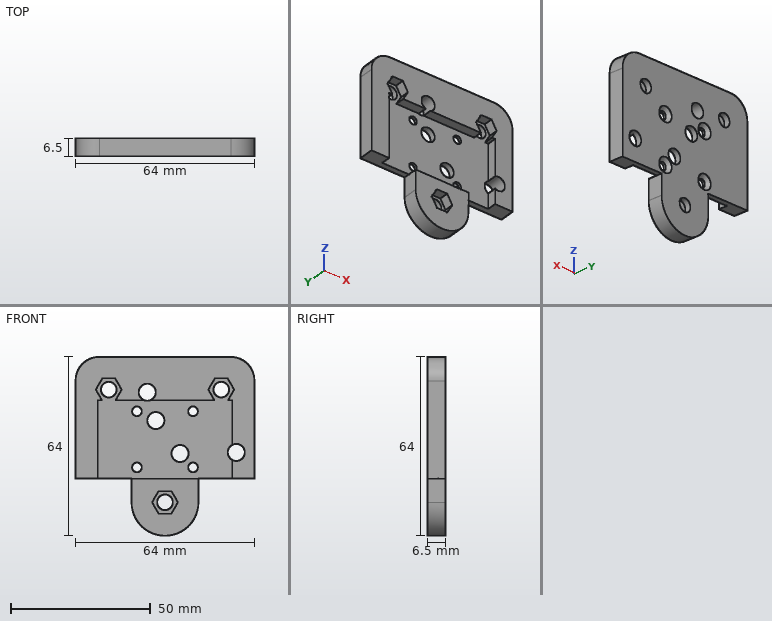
import cadquery as cq
import math

size = 64.0
thickness = 6.5
top = size / 2
bottom = -size / 2
corner_radius = 8.5

tab_width = 24.0
tab_radius = tab_width / 2
tab_center_z = bottom + tab_radius
plate_bottom = bottom + 20.5

pocket_width = 48.0
pocket_height = 28.0
pocket_depth = 4.0

nut_across_flats = 8.0
nut_depth = 4.0
bolt_diameter = 5.5
upper_bolt_x = 20.1
upper_bolt_z = tab_center_z + 40.25
bolt_points = [
    (-upper_bolt_x, upper_bolt_z),
    (upper_bolt_x, upper_bolt_z),
    (0, tab_center_z),
]

screw_diameter = 3.4
screw_head_depth = 1.5
screw_head_half_angle = 45
screw_head_slope = math.tan(math.radians(screw_head_half_angle))
screw_head_diameter = screw_diameter + 2 * screw_head_depth * screw_head_slope
screw_spacing = 20.0
screw_center_z = 2.5
screw_points = [
    (x * screw_spacing / 2, screw_center_z + z * screw_spacing / 2)
    for x in (-1, 1)
    for z in (-1, 1)
]

clearance_diameter = 6.0
clearance_points = [(-6.35, 19.3), (-3.25, 9.2), (5.4, -2.55), (25.5, -2.2)]


def front_plane():
    """Sketch plane on the front face; negative extrusion goes into the part."""
    return cq.Workplane("XZ")


def plate():
    height = top - plate_bottom
    body = (
        front_plane()
        .center(0, plate_bottom + height / 2)
        .rect(size, height)
        .extrude(-thickness)
    )
    return body.edges("|Y and >Z").fillet(corner_radius)


def tab():
    return (
        front_plane()
        .moveTo(-tab_radius, plate_bottom)
        .lineTo(-tab_radius, tab_center_z)
        .threePointArc((0, bottom), (tab_radius, tab_center_z))
        .lineTo(tab_radius, plate_bottom)
        .close()
        .extrude(-thickness)
    )


def pocket():
    return (
        front_plane()
        .center(0, plate_bottom + pocket_height / 2)
        .rect(pocket_width, pocket_height)
        .extrude(-pocket_depth)
    )


def nut_recesses():
    across_corners = nut_across_flats / math.cos(math.radians(30))
    return front_plane().pushPoints(bolt_points).polygon(6, across_corners).extrude(-nut_depth)


def through_holes(points, diameter):
    return front_plane().pushPoints(points).circle(diameter / 2).extrude(-thickness)


def countersinks():
    return (
        front_plane()
        .workplane(offset=-thickness)
        .pushPoints(screw_points)
        .circle(screw_head_diameter / 2)
        .extrude(screw_head_depth, taper=screw_head_half_angle)
    )


result = plate().cut(pocket()).union(tab()).cut(nut_recesses())
for points, diameter in (
    (bolt_points, bolt_diameter),
    (screw_points, screw_diameter),
    (clearance_points, clearance_diameter),
):
    result = result.cut(through_holes(points, diameter))
result = result.cut(countersinks())